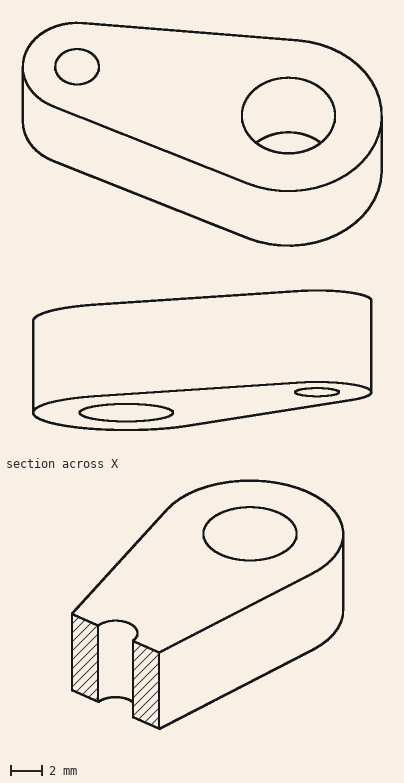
import cadquery as cq
import math

overall_length = 23.6
thickness = 6.0
large_end_radius = 6.0
small_end_radius = 3.5
large_bore_diameter = 6.0
small_bore_diameter = 2.8

center_distance = overall_length - large_end_radius - small_end_radius
small_end_x = -center_distance

normal_x = -(large_end_radius - small_end_radius) / center_distance
normal_y = math.sqrt(1 - normal_x**2)


def tangent_point(center_x, radius):
    """Point where the upper flank meets an end of the given radius."""
    return center_x + radius * normal_x, radius * normal_y


def link_body():
    """Tapered link with two rounded ends joined by tangent flanks."""
    large_x, large_y = tangent_point(0, large_end_radius)
    small_x, small_y = tangent_point(small_end_x, small_end_radius)
    return (
        cq.Workplane("XY")
        .moveTo(small_x, small_y)
        .lineTo(large_x, large_y)
        .threePointArc((large_end_radius, 0), (large_x, -large_y))
        .lineTo(small_x, -small_y)
        .threePointArc((small_end_x - small_end_radius, 0), (small_x, small_y))
        .close()
        .extrude(thickness)
    )


def through_bore(center_x, diameter):
    """Cylinder that cuts a bore through the full thickness."""
    return cq.Workplane("XY").center(center_x, 0).circle(diameter / 2).extrude(thickness)


result = (
    link_body()
    .cut(through_bore(0, large_bore_diameter))
    .cut(through_bore(small_end_x, small_bore_diameter))
)